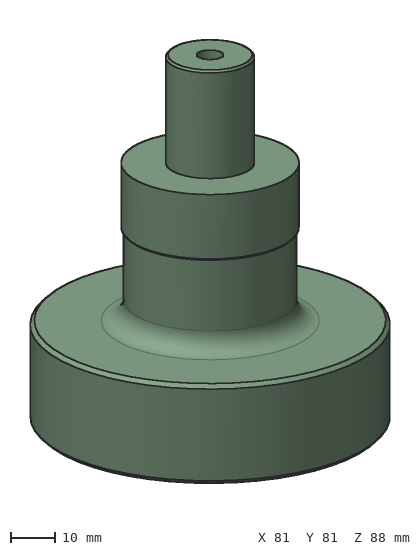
import cadquery as cq

total_height = 88.0
base_diameter = 81.0
base_height = 24.0
base_chamfer = 1.0

neck_diameter = 39.0
neck_fillet = 5.0

collar_diameter = 40.0
collar_bottom = 46.0
collar_top = 62.0
collar_chamfer = (collar_diameter - neck_diameter) / 2

shaft_diameter = 20.0
shaft_chamfer = 0.5
bore_diameter = 6.0


def make_profile():
    """Half section of the turned body, radius along X and height along Z."""
    base_radius = base_diameter / 2
    neck_radius = neck_diameter / 2
    collar_radius = collar_diameter / 2
    shaft_radius = shaft_diameter / 2
    return (
        cq.Workplane("XZ")
        .lineTo(base_radius - base_chamfer, 0)
        .lineTo(base_radius, base_chamfer)
        .lineTo(base_radius, base_height - base_chamfer)
        .lineTo(base_radius - base_chamfer, base_height)
        .lineTo(neck_radius + neck_fillet, base_height)
        .radiusArc((neck_radius, base_height + neck_fillet), neck_fillet)
        .lineTo(neck_radius, collar_bottom)
        .lineTo(collar_radius, collar_bottom + collar_chamfer)
        .lineTo(collar_radius, collar_top)
        .lineTo(shaft_radius, collar_top)
        .lineTo(shaft_radius, total_height - shaft_chamfer)
        .lineTo(shaft_radius - shaft_chamfer, total_height)
        .lineTo(0, total_height)
        .close()
    )


body = make_profile().revolve(360, (0, 0), (0, 1))
bore = cq.Workplane("XY").circle(bore_diameter / 2).extrude(total_height)
result = body.cut(bore)